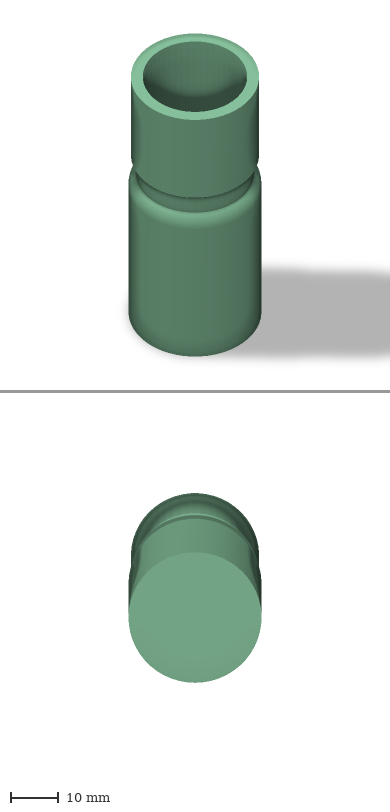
import cadquery as cq
import math

total_height = 67.0
body_diameter = 28.0
neck_diameter = 25.0
collar_diameter = 27.0
bore_diameter = 22.0

body_top = 36.4
shoulder_top = 39.65

collar_height = 23.2
collar_bottom = total_height - collar_height

body_radius = body_diameter / 2
neck_radius = neck_diameter / 2
collar_radius = collar_diameter / 2
collar_chamfer = collar_radius - neck_radius

floor_thickness = (collar_diameter - bore_diameter) / 2
bore_depth = total_height - floor_thickness

shoulder_width = body_radius - neck_radius
shoulder_height = shoulder_top - body_top
shoulder_arc_radius = (shoulder_width**2 + shoulder_height**2) / (2 * shoulder_width)


def shoulder_midpoint():
    """Point (radius, height) halfway along the shoulder arc."""
    half_sweep = math.asin(shoulder_height / shoulder_arc_radius) / 2
    radius = body_radius - shoulder_arc_radius * (1 - math.cos(half_sweep))
    height = body_top + shoulder_arc_radius * math.sin(half_sweep)
    return radius, height


def outer_body():
    """Solid of revolution: body, rounded shoulder, neck groove and collar."""
    return (
        cq.Workplane("XZ")
        .lineTo(body_radius, 0)
        .lineTo(body_radius, body_top)
        .threePointArc(shoulder_midpoint(), (neck_radius, shoulder_top))
        .lineTo(neck_radius, collar_bottom)
        .lineTo(collar_radius, collar_bottom + collar_chamfer)
        .lineTo(collar_radius, total_height)
        .lineTo(0, total_height)
        .close()
        .revolve(360, (0, 0, 0), (0, 1, 0))
    )


def bore():
    """Cylinder from the floor up to the open top end."""
    return (
        cq.Workplane("XY")
        .workplane(offset=floor_thickness)
        .circle(bore_diameter / 2)
        .extrude(bore_depth)
    )


result = outer_body().cut(bore())